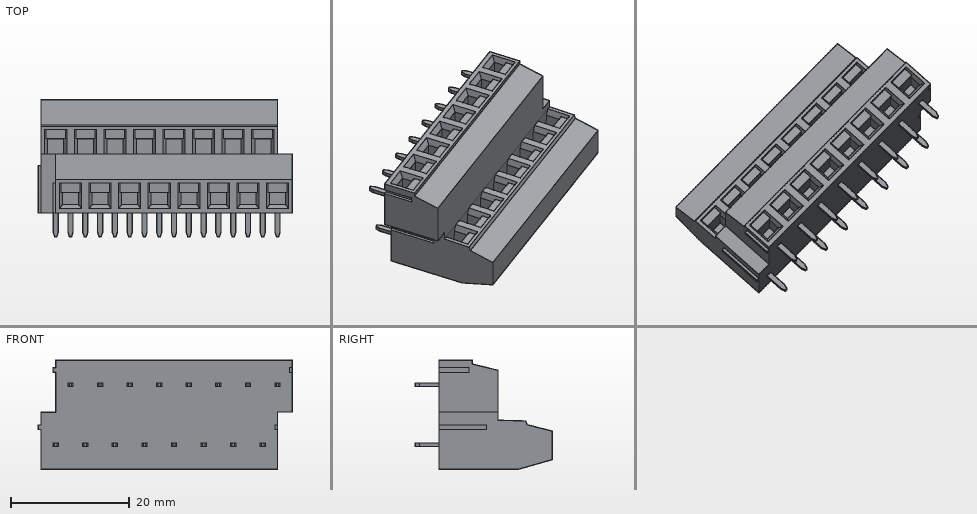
import cadquery as cq
import math


overall_length = 43.0
rib_height = 0.47
positions = 8
pitch = (overall_length - rib_height) / (positions + 0.5)
tier_length = positions * pitch
tier_shift = pitch / 2

lower_depth = 19.2
upper_depth = 10.05
block_top = 9.68
terrace_front_z = 8.35
terrace_back_y = 14.7
terrace_back_z = 8.2
terrace_step_y = 14.95
terrace_step_z = 7.55
nose_top_z = 6.5
nose_bottom_z = 1.65
underside_back_y = 13.45

overall_height = 18.5
deck_depth = 5.68
deck_step = 0.65
upper_back_z = 16.75

pocket_width = 3.75
side_inset = 0.5
front_inset = 0.65
lead_in_depth = 1.05
shelf_depth = 0.5
well_depth = 5.0
upper_pocket_back_y = 5.1
upper_pocket_length = 4.3
upper_shelf_length = 1.6
lower_pocket_back_y = 14.15
lower_shelf_length = 1.45

pin_width = 0.9
pin_thickness = 0.65
pin_length = 4.0
pin_tip_length = 0.77
pin_tip_width = 0.4
lower_pin_z = 4.15
pin_row_spacing = 10.15

rib_width = 0.8
lower_rib_z = 7.15
lower_rib_length = 8.1
upper_rib_z = 16.8
upper_rib_length = 5.1


def box(x, y, z, dx, dy, dz):
    """Box spanning from the corner (x, y, z) by (dx, dy, dz)."""
    return cq.Workplane("XY").box(dx, dy, dz, centered=False).translate((x, y, z))


def tier(start_x, side_outline):
    """Extrude a (Y, Z) side outline over one tier length."""
    return cq.Workplane("YZ").polyline(side_outline).close().extrude(tier_length).translate((start_x, 0, 0))


def position_xs(start_x):
    """Centre X of every terminal position in a tier."""
    return [start_x + (i + 0.5) * pitch for i in range(positions)]


def pocket_cutter(length, shelf_length, front_slope):
    """Pocket with flared rim, back shelf and deep well; back edge of the rim at the origin, front at -Y."""
    well_width = pocket_width - 2 * side_inset
    well_front = length - front_slope
    flare = (
        cq.Workplane("XY")
        .center(0, -length / 2)
        .rect(pocket_width, length)
        .workplane(offset=-lead_in_depth)
        .center(0, front_slope / 2)
        .rect(well_width, well_front)
        .loft(ruled=True)
    )
    shelf = box(-pocket_width / 2, -shelf_length, -lead_in_depth,
                pocket_width, shelf_length, lead_in_depth - shelf_depth)
    well = box(-well_width / 2, -well_front, -well_depth,
               well_width, well_front - shelf_length, well_depth - shelf_depth)
    return flare.cut(shelf).union(well)


def pin(x, z):
    """Flat pin with a tapered tip, pointing to -Y and rooted in the pin face."""
    shoulder_y = pin_tip_length - pin_length
    outline = [
        (-pin_width / 2, 0),
        (-pin_width / 2, shoulder_y),
        (-pin_tip_width / 2, -pin_length),
        (pin_tip_width / 2, -pin_length),
        (pin_width / 2, shoulder_y),
        (pin_width / 2, 0),
    ]
    blade = cq.Workplane("XY").polyline(outline).close().extrude(pin_thickness)
    return blade.translate((x, 0, z - pin_thickness / 2))


def end_rib(end_x, z, length):
    """Rail standing out from an end face at end_x towards -X."""
    return box(end_x - rib_height, 0, z - rib_width / 2, rib_height, length, rib_width)


lower_tier = tier(0, [
    (0, 0),
    (0, block_top),
    (upper_depth, block_top),
    (upper_depth, terrace_front_z),
    (terrace_back_y, terrace_back_z),
    (terrace_step_y, terrace_step_z),
    (lower_depth, nose_top_z),
    (lower_depth, nose_bottom_z),
    (underside_back_y, 0),
])
upper_tier = tier(tier_shift, [
    (0, block_top),
    (0, overall_height),
    (deck_depth, overall_height),
    (deck_depth, overall_height - deck_step),
    (upper_depth, upper_back_z),
    (upper_depth, block_top),
])
result = lower_tier.union(upper_tier)

upper_pocket = pocket_cutter(upper_pocket_length, upper_shelf_length, front_inset)
for x in position_xs(tier_shift):
    result = result.cut(upper_pocket.translate((x, upper_pocket_back_y, overall_height)))

terrace_slope = (terrace_front_z - terrace_back_z) / (terrace_back_y - upper_depth)
terrace_angle = math.atan(terrace_slope)
lower_pocket_length = (lower_pocket_back_y - upper_depth) / math.cos(terrace_angle)
lower_pocket_z = terrace_front_z - terrace_slope * (lower_pocket_back_y - upper_depth)
lower_pocket = pocket_cutter(lower_pocket_length, lower_shelf_length, 0)
lower_pocket = lower_pocket.rotate((0, 0, 0), (1, 0, 0), -math.degrees(terrace_angle))
for x in position_xs(0):
    result = result.cut(lower_pocket.translate((x, lower_pocket_back_y, lower_pocket_z)))

for start_x, rib_z, rib_length, pin_z in [
    (0, lower_rib_z, lower_rib_length, lower_pin_z),
    (tier_shift, upper_rib_z, upper_rib_length, lower_pin_z + pin_row_spacing),
]:
    result = result.union(end_rib(start_x, rib_z, rib_length))
    result = result.cut(end_rib(start_x + tier_length, rib_z, rib_length))
    for x in position_xs(start_x):
        result = result.union(pin(x, pin_z))